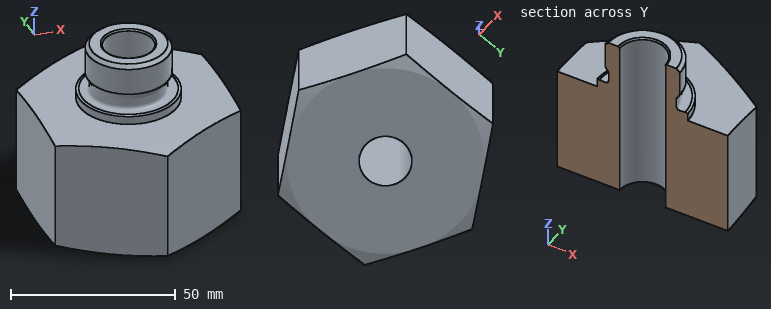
import cadquery as cq
import math

hex_width = 60.04
hex_corner_diameter = 69.28
hex_height = 38.0
hex_face_diameter = 60.0
hex_chamfer_angle = math.radians(15)
envelope_clearance = 1.0

collar_radius = 32.0 / 2
collar_height = 3.0
sealing_edge_z = hex_height + collar_height
sealing_edge_radius = 15.1
rim_slope = math.radians(15)
seal_face_slope = math.radians(6)

total_height = 57.0
thread_radius = 26.41 / 2
thread_start_z = 47.0
neck_radius = 23.9 / 2
undercut_fillet = 1.25
runout_angle = math.radians(30)
tip_face_radius = neck_radius
tip_chamfer_height = 1.2

bore_diameter = 16.0
bore_chamfer = 0.5


def revolve_profile(profile):
    """Turn a closed radius-height profile about the Z axis."""
    return profile.close().revolve(360, (0, 0, 0), (0, 1, 0))


def make_hex_body():
    """Hexagonal prism with its corners turned off conically at both ends."""
    half_width = hex_width / 2
    corner_radius = hex_corner_diameter / 2
    face_radius = hex_face_diameter / 2
    corners = [
        (0, corner_radius),
        (half_width, corner_radius / 2),
        (half_width, -corner_radius / 2),
        (0, -corner_radius),
        (-half_width, -corner_radius / 2),
        (-half_width, corner_radius / 2),
    ]
    prism = cq.Workplane("XY").polyline(corners).close().extrude(hex_height)

    envelope_radius = corner_radius + envelope_clearance
    envelope_drop = (envelope_radius - face_radius) * math.tan(hex_chamfer_angle)
    envelope = revolve_profile(
        cq.Workplane("XZ")
        .lineTo(face_radius, 0)
        .lineTo(envelope_radius, envelope_drop)
        .lineTo(envelope_radius, hex_height - envelope_drop)
        .lineTo(face_radius, hex_height)
        .lineTo(0, hex_height)
    )
    return prism.intersect(envelope)


def make_spigot():
    """Collar, undercut neck and thread cylinder turned as one profile."""
    rim_z = sealing_edge_z - (collar_radius - sealing_edge_radius) * math.tan(rim_slope)

    fillet_center_r = neck_radius + undercut_fillet

    seal_face_end_r = fillet_center_r + undercut_fillet * math.sin(seal_face_slope)
    seal_face_end_z = sealing_edge_z - (sealing_edge_radius - seal_face_end_r) * math.tan(seal_face_slope)
    lower_center_z = seal_face_end_z + undercut_fillet * math.cos(seal_face_slope)
    lower_mid_angle = (math.pi / 2 + seal_face_slope) / 2
    lower_mid = (
        fillet_center_r - undercut_fillet * math.cos(lower_mid_angle),
        lower_center_z - undercut_fillet * math.sin(lower_mid_angle),
    )

    runout_foot_z = thread_start_z - (thread_radius - neck_radius) / math.tan(runout_angle)
    tangent_length = undercut_fillet * math.tan(runout_angle / 2)
    upper_center_z = runout_foot_z - tangent_length

    def upper_fillet_point(angle):
        """Point on the upper fillet, measured from its tangency with the neck."""
        return (
            fillet_center_r - undercut_fillet * math.cos(angle),
            upper_center_z + undercut_fillet * math.sin(angle),
        )

    return revolve_profile(
        cq.Workplane("XZ")
        .lineTo(collar_radius, 0)
        .lineTo(collar_radius, rim_z)
        .lineTo(sealing_edge_radius, sealing_edge_z)
        .lineTo(seal_face_end_r, seal_face_end_z)
        .threePointArc(lower_mid, (neck_radius, lower_center_z))
        .lineTo(neck_radius, upper_center_z)
        .threePointArc(upper_fillet_point(runout_angle / 2), upper_fillet_point(runout_angle))
        .lineTo(thread_radius, thread_start_z)
        .lineTo(thread_radius, total_height - tip_chamfer_height)
        .lineTo(tip_face_radius, total_height)
        .lineTo(0, total_height)
    )


def make_bore():
    """Through bore with a chamfered mouth at the spigot tip."""
    bore_radius = bore_diameter / 2
    return revolve_profile(
        cq.Workplane("XZ")
        .lineTo(bore_radius, 0)
        .lineTo(bore_radius, total_height - bore_chamfer)
        .lineTo(bore_radius + bore_chamfer, total_height)
        .lineTo(0, total_height)
    )


result = make_hex_body().union(make_spigot()).cut(make_bore())